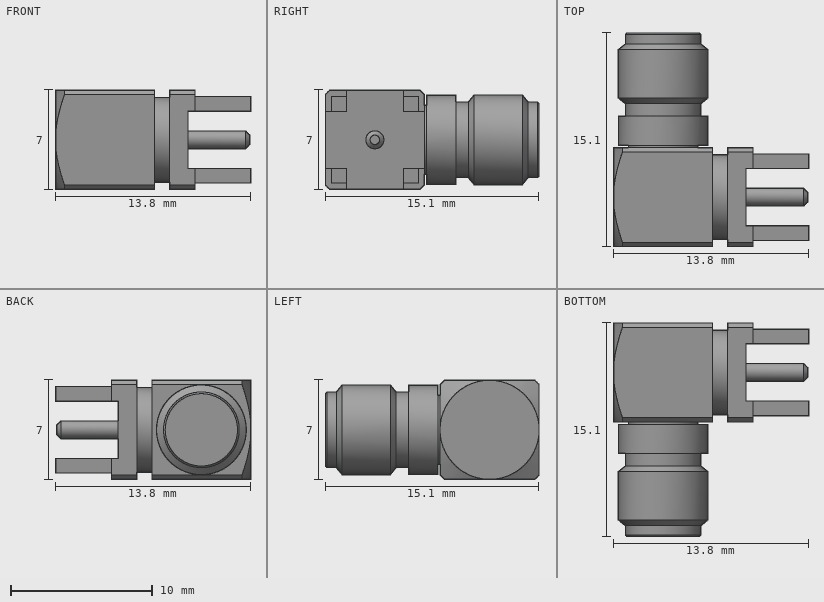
import cadquery as cq
import math


block_size = 7.0
half_block = block_size / 2
edge_chamfer = 0.31
nose_cone_angle = 27.0

neck_diameter = 6.0
neck_length = 1.05
flange_thickness = 1.8
recess_depth = 0.48
leg_pitch = 5.08
leg_width = 1.05
total_length = 13.8
pin_diameter = 1.27
pin_tip_chamfer = 0.3
pin_setback = 0.08

block_end = half_block
flange_start = block_end + neck_length
flange_end = flange_start + flange_thickness
recess_floor = flange_end - recess_depth
leg_end = total_length - half_block
pin_end = leg_end - pin_setback
recess_width = leg_pitch - leg_width

jack_neck_radius = 4.9 / 2
collar_radius = 6.33 / 2
thread_radius = 6.35 / 2
relief_radius = 5.35 / 2
collar_start = 0.16
collar_end = 2.22
relief_end = 3.1
jack_length = 8.1
nose_length = 0.78
thread_chamfer = 0.41
nose_chamfer = 0.12


def square_bar(x_start, x_end):
    """Square bar along X with its four long edges chamfered."""
    bar = cq.Workplane("YZ", origin=(x_start, 0, 0)).rect(block_size, block_size).extrude(x_end - x_start)
    return bar.edges("|X").chamfer(edge_chamfer)


def cylinder_x(x_start, x_end, diameter):
    return cq.Workplane("YZ", origin=(x_start, 0, 0)).circle(diameter / 2).extrude(x_end - x_start)


def make_block():
    """Elbow block whose -X corners are cut by a cone down to an inscribed circle."""
    bar = square_bar(-half_block, block_end)
    envelope_radius = block_size
    cone_depth = (envelope_radius - half_block) * math.tan(math.radians(nose_cone_angle))
    envelope = (
        cq.Workplane("XY")
        .moveTo(-half_block, 0)
        .lineTo(-half_block, half_block)
        .lineTo(-half_block + cone_depth, envelope_radius)
        .lineTo(block_end, envelope_radius)
        .lineTo(block_end, 0)
        .close()
        .revolve(360, (0, 0, 0), (1, 0, 0))
    )
    return bar.intersect(envelope)


def make_flange():
    """Square flange with a cross-shaped recess that leaves a raised foot at each corner."""
    flange = square_bar(flange_start, flange_end)
    recess_plane = cq.Workplane("YZ", origin=(recess_floor, 0, 0))
    flange = flange.cut(recess_plane.rect(block_size, recess_width).extrude(recess_depth))
    return flange.cut(recess_plane.rect(recess_width, block_size).extrude(recess_depth))


def make_legs():
    return (
        cq.Workplane("YZ", origin=(recess_floor, 0, 0))
        .rect(leg_pitch, leg_pitch, forConstruction=True)
        .vertices()
        .rect(leg_width, leg_width)
        .extrude(leg_end - recess_floor)
    )


def make_pin():
    return cylinder_x(flange_start, pin_end, pin_diameter).faces(">X").chamfer(pin_tip_chamfer)


def make_jack():
    """Turned jack body, revolved about Y, rooted inside the block."""
    thread_start = relief_end + thread_chamfer
    nose_start = jack_length - nose_length
    thread_end = nose_start - thread_chamfer
    profile = [
        (0, -half_block),
        (jack_neck_radius, -half_block),
        (jack_neck_radius, collar_start),
        (collar_radius, collar_start),
        (collar_radius, collar_end),
        (relief_radius, collar_end),
        (relief_radius, relief_end),
        (thread_radius, thread_start),
        (thread_radius, thread_end),
        (relief_radius, nose_start),
        (relief_radius, jack_length - nose_chamfer),
        (relief_radius - nose_chamfer, jack_length),
        (0, jack_length),
    ]
    return (
        cq.Workplane("XY", origin=(0, half_block, 0))
        .polyline(profile)
        .close()
        .revolve(360, (0, 0, 0), (0, 1, 0))
    )


neck = cylinder_x(0, flange_start, neck_diameter)

result = (
    make_block()
    .union(neck)
    .union(make_flange())
    .union(make_legs())
    .union(make_pin())
    .union(make_jack())
)